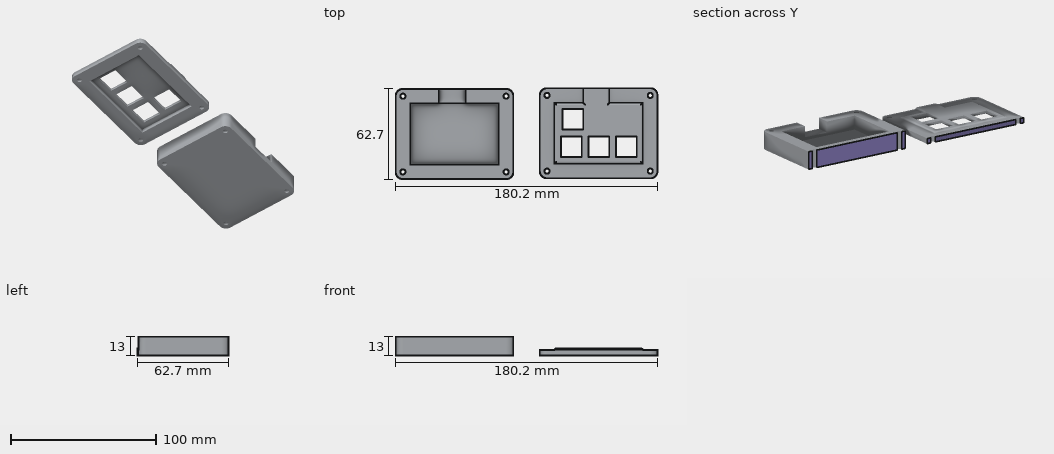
import cadquery as cq

length = 81.1
width = 62.2
corner_radius = 5.0
screw_hole_diameter = 3.5
screw_inset = corner_radius

pocket_length = 61.1
pocket_width = 42.2
cable_slot_width = 18.4
cable_slot_x = 39.0

tray_height = 13.0
pocket_depth = 10.1
cable_slot_depth = 8.0

lid_x = 99.1
lid_y = 0.5
lid_thickness = 4.0
pad_height = 1.0
lid_height = lid_thickness + pad_height
pad_edge_radius = 1.8
key_web = 2.0

key_size = 14.0
key_pitch = 19.0
keys_in_row = 3
first_key_x = 21.8
first_key_y = 21.8
upper_key_shift = 1.0

side_margin = (length - pocket_length) / 2
end_margin = (width - pocket_width) / 2
cable_slot_left = cable_slot_x - cable_slot_width / 2
cable_slot_right = cable_slot_x + cable_slot_width / 2


def plate(height):
    """Rounded rectangular plate with a through hole at each corner."""
    screw_points = [
        (x, y)
        for x in (screw_inset, length - screw_inset)
        for y in (screw_inset, width - screw_inset)
    ]
    blank = (
        cq.Workplane("XY")
        .box(length, width, height, centered=False)
        .edges("|Z")
        .fillet(corner_radius)
    )
    holes = (
        cq.Workplane("XY")
        .pushPoints(screw_points)
        .circle(screw_hole_diameter / 2)
        .extrude(height)
    )
    return blank.cut(holes)


def make_tray():
    """Open tray with a cable slot through its +Y wall."""
    pocket = (
        cq.Workplane("XY")
        .box(pocket_length, pocket_width, pocket_depth, centered=False)
        .translate((side_margin, end_margin, tray_height - pocket_depth))
    )
    cable_slot = (
        cq.Workplane("XY")
        .box(cable_slot_width, width / 2, cable_slot_depth, centered=False)
        .translate((cable_slot_left, width / 2, tray_height - cable_slot_depth))
    )
    return plate(tray_height).cut(pocket).cut(cable_slot)


def make_pad():
    """Round-edged T-shaped block that plugs the pocket, its tongue running to the +Y edge."""
    left = side_margin
    right = length - side_margin
    bottom = end_margin
    top = width - end_margin
    block = (
        cq.Workplane("XY")
        .polyline([
            (left, bottom),
            (right, bottom),
            (right, top),
            (cable_slot_right, top),
            (cable_slot_right, width),
            (cable_slot_left, width),
            (cable_slot_left, top),
            (left, top),
        ])
        .close()
        .extrude(lid_height)
    )
    return block.faces(">Z").edges("not >Y").fillet(pad_edge_radius)


def make_underside_recess():
    """Recess in the outer face that leaves a thin web around the keys."""
    return (
        cq.Workplane("XY")
        .box(pocket_length, pocket_width, lid_height - key_web, centered=False)
        .translate((side_margin, end_margin, 0))
    )


def make_key_openings():
    """Row of square openings plus one above the first of the row."""
    centers = [(first_key_x + i * key_pitch, first_key_y) for i in range(keys_in_row)]
    centers.append((first_key_x + upper_key_shift, first_key_y + key_pitch))
    return (
        cq.Workplane("XY")
        .pushPoints(centers)
        .rect(key_size, key_size)
        .extrude(lid_height)
    )


def make_lid():
    """Plate with the pocket pad on top, recessed below and pierced by the key openings."""
    lid = plate(lid_thickness).union(make_pad())
    lid = lid.cut(make_underside_recess())
    lid = lid.cut(make_key_openings())
    return lid.translate((lid_x, lid_y, 0))


tray = make_tray()
lid = make_lid()

result = cq.Compound.makeCompound([tray.val(), lid.val()])